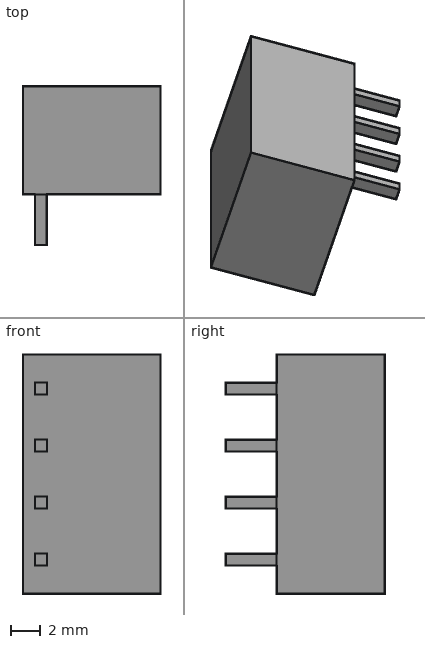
import cadquery as cq

body_width = 9.2
body_depth = 7.24
body_height = 16.03

pin_count = 4
pin_pitch = 3.81
pin_side = 0.8
pin_length = 3.4
pin_center_x = 1.2


def make_housing():
    return cq.Workplane("XY").box(body_width, body_depth, body_height, centered=False)


def make_pin(center_z):
    return (
        cq.Workplane("XY")
        .box(pin_side, pin_length, pin_side, centered=(True, False, True))
        .translate((pin_center_x, -pin_length, center_z))
    )


row_length = (pin_count - 1) * pin_pitch
first_pin_z = (body_height - row_length) / 2

result = make_housing()
for index in range(pin_count):
    result = result.union(make_pin(first_pin_z + index * pin_pitch))